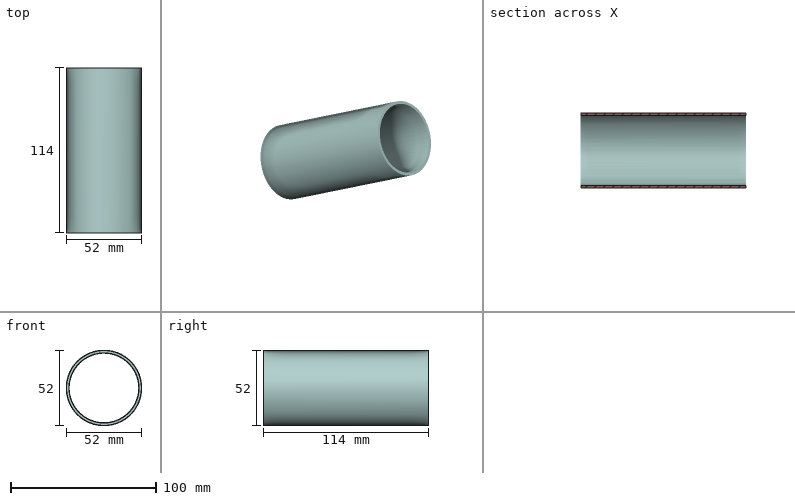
import cadquery as cq

outer_diameter = 52.0
wall_thickness = 2.0
length = 114.0

outer_radius = outer_diameter / 2
inner_radius = outer_radius - wall_thickness


def make_tube():
    """Ring in the XZ plane, extruded toward +Y from the origin."""
    ring = cq.Workplane("XZ").circle(outer_radius).circle(inner_radius)
    return ring.extrude(-length)


result = make_tube()